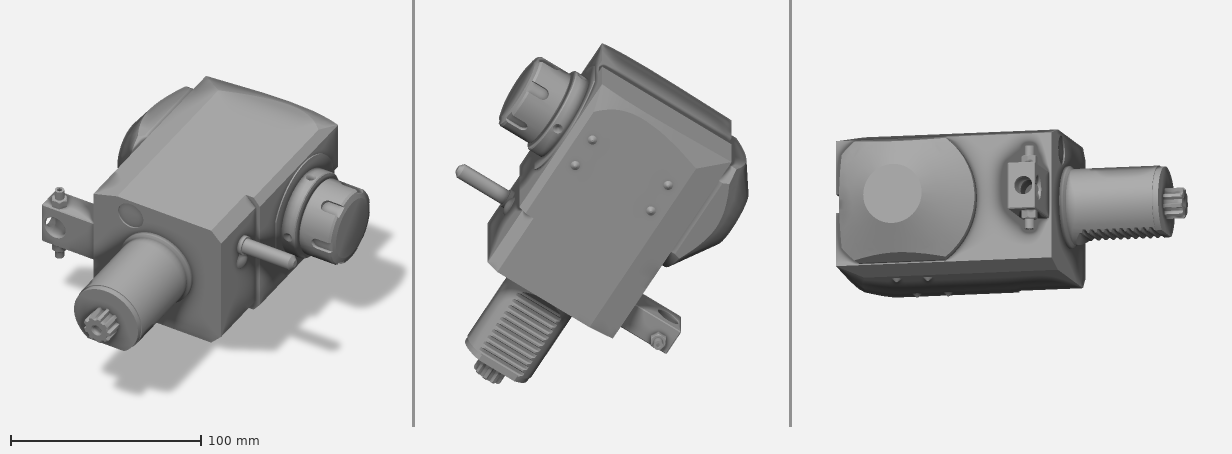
import cadquery as cq
import math

OVERLAP = 1.8

BODY_LENGTH = 116.4
BODY_LEFT = -38.8
BODY_RIGHT = 41.7
BODY_HALF_HEIGHT = 37.5
LEFT_BEVEL_WIDTH = 14.5
LEFT_BEVEL_DROP = 4.1
RIGHT_BEVEL_WIDTH = 3.8
RIGHT_BEVEL_DROP = 4.7
STEP_LENGTH = 35.5
STEP_RIGHT = 39.0
STEP_BEVEL_WIDTH = 6.0
STEP_BEVEL_DROP = 6.3
BACK_CREST = (12.4, 36.5)
BACK_LEFT_SHOULDER = (-16.8, 35.0)
BACK_RIGHT_SHOULDER = (30.8, 35.5)
BACK_SLOPE = 0.25
BACK_SLOT_WIDTH = 9.8
BACK_SLOT_DEPTH = 4.0
PLUG_RADIUS = 7.7
PLUG_DEPTH = 0.9
PLUG_X = -16.1
PLUG_Z = 27.7

SHANK_RADIUS = 20.0
SHANK_LENGTH = 52.8
SHANK_END_RADIUS = 19.5
SHANK_END_LENGTH = 3.2
FLANGE_RADIUS = 21.7
FLANGE_LENGTH = 1.8
FLANGE_TAPER = 1.5
FLANGE_ROUNDING = 0.7
FLAT_Z = -16.1
FLAT_START = 8.6
TOOTH_DEPTH = 1.5
GROOVE_COUNT = 10
FIRST_GROOVE = 11.5
LAST_GROOVE = 47.5
TOOTH_PITCH = (LAST_GROOVE - FIRST_GROOVE) / (GROOVE_COUNT - 1)
GROOVE_MOUTH = 3.0
GROOVE_FLOOR = 1.6

SPLINE_TEETH = 9
SPLINE_TIP_RADIUS = 8.2
SPLINE_ROOT_RADIUS = 6.5
SPLINE_LENGTH = 9.8
SPLINE_TIP_SHARE = 0.3
SPLINE_ROOT_SHARE = 0.6
SPLINE_CHAMFER = 0.7
CENTER_BORE_RADIUS = 2.5
CENTER_BORE_DEPTH = 5.4
CENTER_BORE_CHAMFER = 0.7

SPINDLE_Y = 80.4
COVER_RADIUS = 40.1
COVER_RIM_X = -44.8
COVER_FACE_X = -62.3
COVER_FACE_RADIUS = 15.8
COVER_BACK_Y = 111.9
COVER_FLAT_Z = 32.5
COVER_FLAT_X = -41.3
COVER_FLAT_ANGLE = 15.0

PLATE_RADIUS = 31.5
PLATE_HALF_WIDTH = 29.2
PLATE_END_X = 42.5
COLLAR_RADIUS = 24.0
COLLAR_END_X = 50.3
COLLAR_CHAMFER = 0.5
NECK_RADIUS = 16.6
NUT_START_X = 51.4
NUT_RADIUS = 21.1
NUT_BEVEL_X = 69.1
NUT_SHOULDER_X = 70.3
NUT_END_X = 71.5
NUT_SHOULDER_RADIUS = 20.4
NUT_FACE_RADIUS = 16.6
NUT_CHAMFER = 0.5
NUT_SLOTS = 6
NUT_SLOT_WIDTH = 6.5
NUT_SLOT_START_X = 59.0
NUT_SLOT_DEPTH = 2.1
COLLAR_HOLES = 4
COLLAR_HOLE_RADIUS = 2.7
COLLAR_HOLE_X = 46.4
COLLAR_HOLE_DEPTH = 2.7

PIN_Y = 21.5
PIN_Z = 16.1
PIN_RADIUS = 4.1
PIN_SHOULDER_X = 69.3
PIN_TIP_RADIUS = 2.0
PIN_COLLAR_RADIUS = 5.2
PIN_COLLAR_END_X = 41.3
DOME_Z = 6.3
DOME_RADIUS = 5.5
DOME_HEIGHT = 2.3

ARM_END_X = -71.2
ARM_FRONT_Y = 1.5
ARM_BACK_Y = 16.3
ARM_HALF_HEIGHT = 12.4
ARM_CHAMFER = 0.5
ARM_BORE_X = -63.2
ARM_BORE_RADIUS = 6.3
ARM_BORE_CHAMFER = 0.4
SIDE_BORE_Y = 7.7
SIDE_BORE_RADIUS = 4.8
SIDE_BORE_TIP_RADIUS = 1.5
SIDE_BORE_FLOOR_X = -46.5
SIDE_BORE_TIP_DEPTH = 3.5
STUD_X = -63.2
STUD_Y = 6.3
STUD_RADIUS = 2.5
STUD_TOP_Z = 22.0
STUD_NUT_TOP_Z = 16.8
HEX_ACROSS_CORNERS = 9.0
HEX_CHAMFER = 0.7
SOCKET_ACROSS_CORNERS = 2.9
SOCKET_DEPTH = 1.8

RIVET_RADIUS = 2.5
RIVET_TIP_RADIUS = 0.5
RIVET_HEIGHT = 1.8
RIVET_CENTER_X = 6.6
RIVET_SPACING_X = 47.0
RIVET_SPACING_Y = 16.8


def box(x_range, y_range, z_range):
    """Block between the given limits."""
    sizes = [high - low for low, high in (x_range, y_range, z_range)]
    corner = (x_range[0], y_range[0], z_range[0])
    return cq.Workplane("XY").box(*sizes, centered=False).translate(corner)


def revolve_along_x(profile, y, z):
    """Solid of revolution about X from (x, radius) points, centred on (y, z)."""
    outline = [(profile[0][0], 0)] + profile + [(profile[-1][0], 0)]
    solid = cq.Workplane("XY").polyline(outline).close().revolve(360, (0, 0, 0), (1, 0, 0))
    return solid.translate((0, y, z))


def revolve_along_y(profile):
    """Solid of revolution about Y from (radius, y) points."""
    outline = [(0, profile[0][1])] + profile
    if profile[-1][0] > 0:
        outline.append((0, profile[-1][1]))
    return cq.Workplane("XY").polyline(outline).close().revolve(360, (0, 0, 0), (0, 1, 0))


def along_y(outline, y_start, y_end):
    """Prism along Y from a closed (x, z) outline."""
    prism = cq.Workplane("XZ", origin=(0, y_start, 0)).polyline(outline).close()
    return prism.extrude(y_start - y_end)


def housing_outline(right, bevel_width, bevel_drop):
    """Cross-section of the housing, symmetric about Z = 0."""
    upper = [
        (BODY_LEFT, BODY_HALF_HEIGHT - LEFT_BEVEL_DROP),
        (BODY_LEFT + LEFT_BEVEL_WIDTH, BODY_HALF_HEIGHT),
        (right - bevel_width, BODY_HALF_HEIGHT),
        (right, BODY_HALF_HEIGHT - bevel_drop),
    ]
    lower = [(x, -z) for x, z in reversed(upper)]
    return upper + lower


def crown_section(y):
    """Closed section of the crowned envelope, which widens in Z away from the back face."""
    rise = BACK_SLOPE * (BODY_LENGTH - y)
    crown = [
        (BODY_LEFT, BODY_HALF_HEIGHT - LEFT_BEVEL_DROP),
        BACK_LEFT_SHOULDER,
        BACK_CREST,
        BACK_RIGHT_SHOULDER,
        (BODY_RIGHT, BODY_HALF_HEIGHT - RIGHT_BEVEL_DROP),
    ]
    upper = [(x, z + rise) for x, z in crown]
    lower = [(x, -z) for x, z in reversed(upper)]
    section = cq.Workplane("XZ", origin=(0, y, 0)).moveTo(*upper[0])
    section = section.spline(upper[1:], includeCurrent=True).lineTo(*lower[0])
    return section.spline(lower[1:], includeCurrent=True).close().val()


def back_crown():
    """Envelope that slopes the top and bottom of the housing toward the back face."""
    return cq.Workplane(cq.Solid.makeLoft([crown_section(BODY_LENGTH), crown_section(0)], True))


def make_housing():
    front = along_y(housing_outline(STEP_RIGHT, STEP_BEVEL_WIDTH, STEP_BEVEL_DROP), 0, STEP_LENGTH)
    main_outline = housing_outline(BODY_RIGHT, RIGHT_BEVEL_WIDTH, RIGHT_BEVEL_DROP)
    main = along_y(main_outline, STEP_LENGTH, BODY_LENGTH)
    body = front.union(main).intersect(back_crown())
    slot = box(
        (BODY_LEFT, BODY_RIGHT),
        (BODY_LENGTH - BACK_SLOT_DEPTH, BODY_LENGTH),
        (-BACK_SLOT_WIDTH / 2, BACK_SLOT_WIDTH / 2),
    )
    plug_recess = cq.Workplane("XZ").center(PLUG_X, PLUG_Z).circle(PLUG_RADIUS).extrude(-PLUG_DEPTH)
    return body.cut(slot).cut(plug_recess)


def make_shank():
    shank = revolve_along_y([
        (FLANGE_RADIUS, OVERLAP),
        (FLANGE_RADIUS, -FLANGE_LENGTH),
        (SHANK_RADIUS, -FLANGE_LENGTH - FLANGE_TAPER),
        (SHANK_RADIUS, SHANK_END_LENGTH - SHANK_LENGTH),
        (SHANK_END_RADIUS, SHANK_END_LENGTH - SHANK_LENGTH),
        (SHANK_END_RADIUS, -SHANK_LENGTH),
    ])
    shank = shank.edges(cq.selectors.RadiusNthSelector(-1)).fillet(FLANGE_ROUNDING)
    ramp = FLANGE_RADIUS + FLAT_Z
    flat_cut = [
        (-FLAT_START, FLAT_Z),
        (-SHANK_LENGTH, FLAT_Z),
        (-SHANK_LENGTH, -FLANGE_RADIUS),
        (ramp - FLAT_START, -FLANGE_RADIUS),
    ]
    shank = shank.cut(cq.Workplane("YZ").polyline(flat_cut).close().extrude(SHANK_RADIUS, both=True))
    for index in range(GROOVE_COUNT):
        y = -FIRST_GROOVE - index * TOOTH_PITCH
        groove = [
            (y - GROOVE_MOUTH / 2, FLAT_Z),
            (y - GROOVE_FLOOR / 2, FLAT_Z + TOOTH_DEPTH),
            (y + GROOVE_FLOOR / 2, FLAT_Z + TOOTH_DEPTH),
            (y + GROOVE_MOUTH / 2, FLAT_Z),
        ]
        shank = shank.cut(cq.Workplane("YZ").polyline(groove).close().extrude(SHANK_RADIUS, both=True))
    return shank


def make_spline():
    pitch = 2 * math.pi / SPLINE_TEETH
    outline = []
    for tooth in range(SPLINE_TEETH):
        corners = [
            (SPLINE_ROOT_RADIUS, -SPLINE_ROOT_SHARE),
            (SPLINE_TIP_RADIUS, -SPLINE_TIP_SHARE),
            (SPLINE_TIP_RADIUS, SPLINE_TIP_SHARE),
            (SPLINE_ROOT_RADIUS, SPLINE_ROOT_SHARE),
        ]
        for radius, share in corners:
            angle = pitch * (tooth + share / 2)
            outline.append((radius * math.cos(angle), radius * math.sin(angle)))
    end_y = -SHANK_LENGTH - SPLINE_LENGTH
    spline = along_y(outline, OVERLAP - SHANK_LENGTH, end_y)
    envelope = revolve_along_y([
        (SPLINE_TIP_RADIUS, OVERLAP - SHANK_LENGTH),
        (SPLINE_TIP_RADIUS, end_y + SPLINE_CHAMFER),
        (SPLINE_TIP_RADIUS - SPLINE_CHAMFER, end_y),
    ])
    bore = revolve_along_y([
        (CENTER_BORE_RADIUS + CENTER_BORE_CHAMFER, end_y),
        (CENTER_BORE_RADIUS, end_y + CENTER_BORE_CHAMFER),
        (CENTER_BORE_RADIUS, end_y + CENTER_BORE_DEPTH),
    ])
    return spline.intersect(envelope).cut(bore)


def make_cover():
    inner_x = BODY_LEFT + OVERLAP
    cover = revolve_along_x([
        (COVER_FACE_X, COVER_FACE_RADIUS),
        (COVER_RIM_X, COVER_RADIUS),
        (inner_x, COVER_RADIUS),
    ], SPINDLE_Y, 0)
    slope_drop = (COVER_FLAT_X - COVER_FACE_X) * math.tan(math.radians(COVER_FLAT_ANGLE))
    upper = [
        (COVER_FACE_X, COVER_FLAT_Z - slope_drop),
        (COVER_FLAT_X, COVER_FLAT_Z),
        (inner_x, COVER_FLAT_Z),
    ]
    lower = [(x, -z) for x, z in reversed(upper)]
    return cover.intersect(along_y(upper + lower, SPINDLE_Y - COVER_RADIUS, COVER_BACK_Y))


def make_spindle():
    plate = revolve_along_x(
        [(BODY_RIGHT - OVERLAP, PLATE_RADIUS), (PLATE_END_X, PLATE_RADIUS)], SPINDLE_Y, 0)
    plate = plate.intersect(box(
        (BODY_RIGHT - OVERLAP, PLATE_END_X),
        (SPINDLE_Y - PLATE_HALF_WIDTH, SPINDLE_Y + PLATE_HALF_WIDTH),
        (-PLATE_RADIUS, PLATE_RADIUS),
    ))
    turned = revolve_along_x([
        (BODY_RIGHT - OVERLAP, COLLAR_RADIUS),
        (COLLAR_END_X - COLLAR_CHAMFER, COLLAR_RADIUS),
        (COLLAR_END_X, COLLAR_RADIUS - COLLAR_CHAMFER),
        (COLLAR_END_X, NECK_RADIUS),
        (NUT_START_X, NECK_RADIUS),
        (NUT_START_X, NUT_RADIUS - NUT_CHAMFER),
        (NUT_START_X + NUT_CHAMFER, NUT_RADIUS),
        (NUT_BEVEL_X, NUT_RADIUS),
        (NUT_SHOULDER_X, NUT_SHOULDER_RADIUS),
        (NUT_END_X, NUT_FACE_RADIUS),
    ], SPINDLE_Y, 0)

    end_center_x = NUT_SLOT_START_X + NUT_SLOT_WIDTH / 2
    slot = (
        cq.Workplane("XZ", origin=(0, NUT_SLOT_DEPTH - NUT_RADIUS, 0))
        .moveTo(NUT_END_X, NUT_SLOT_WIDTH / 2)
        .lineTo(end_center_x, NUT_SLOT_WIDTH / 2)
        .threePointArc((NUT_SLOT_START_X, 0), (end_center_x, -NUT_SLOT_WIDTH / 2))
        .lineTo(NUT_END_X, -NUT_SLOT_WIDTH / 2)
        .close()
        .extrude(NUT_SLOT_DEPTH + OVERLAP)
    )
    for index in range(NUT_SLOTS):
        turned_slot = slot.rotate((0, 0, 0), (1, 0, 0), index * 360 / NUT_SLOTS)
        turned = turned.cut(turned_slot.translate((0, SPINDLE_Y, 0)))

    hole = revolve_along_y([
        (COLLAR_HOLE_RADIUS, -COLLAR_RADIUS - OVERLAP),
        (COLLAR_HOLE_RADIUS, -COLLAR_RADIUS),
        (0, COLLAR_HOLE_DEPTH - COLLAR_RADIUS),
    ]).translate((COLLAR_HOLE_X, 0, 0))
    for index in range(COLLAR_HOLES):
        turned_hole = hole.rotate((0, 0, 0), (1, 0, 0), index * 360 / COLLAR_HOLES)
        turned = turned.cut(turned_hole.translate((0, SPINDLE_Y, 0)))
    return plate.union(turned)


def make_pin():
    return revolve_along_x([
        (STEP_RIGHT - OVERLAP, PIN_COLLAR_RADIUS),
        (PIN_COLLAR_END_X, PIN_COLLAR_RADIUS),
        (PIN_COLLAR_END_X, PIN_RADIUS),
        (PIN_SHOULDER_X, PIN_RADIUS),
        (NUT_END_X, PIN_TIP_RADIUS),
    ], PIN_Y, PIN_Z)


def make_dome():
    sphere_radius = (DOME_RADIUS ** 2 + DOME_HEIGHT ** 2) / (2 * DOME_HEIGHT)
    center_x = STEP_RIGHT + DOME_HEIGHT - sphere_radius
    return cq.Workplane("XY").sphere(sphere_radius).translate((center_x, PIN_Y, DOME_Z))


def make_arm():
    """Arm with a bore along Y crossed by a stepped bore from its outer end."""
    arm = box(
        (ARM_END_X, BODY_LEFT + OVERLAP),
        (ARM_FRONT_Y, ARM_BACK_Y),
        (-ARM_HALF_HEIGHT, ARM_HALF_HEIGHT),
    )
    arm = arm.edges("|X").chamfer(ARM_CHAMFER).faces("<X").edges().chamfer(ARM_CHAMFER)
    mouth_radius = ARM_BORE_RADIUS + ARM_BORE_CHAMFER
    cross_bore = revolve_along_y([
        (mouth_radius, ARM_FRONT_Y),
        (ARM_BORE_RADIUS, ARM_FRONT_Y + ARM_BORE_CHAMFER),
        (ARM_BORE_RADIUS, ARM_BACK_Y - ARM_BORE_CHAMFER),
        (mouth_radius, ARM_BACK_Y),
    ]).translate((ARM_BORE_X, 0, 0))
    side_bore = revolve_along_x([
        (ARM_END_X, SIDE_BORE_RADIUS),
        (SIDE_BORE_FLOOR_X, SIDE_BORE_RADIUS),
        (SIDE_BORE_FLOOR_X, SIDE_BORE_TIP_RADIUS),
        (SIDE_BORE_FLOOR_X + SIDE_BORE_TIP_DEPTH, SIDE_BORE_TIP_RADIUS),
    ], SIDE_BORE_Y, 0)
    return arm.cut(cross_bore).cut(side_bore)


def make_stud():
    """Stud with lock nut on top of the arm."""
    base = cq.Workplane("XY", origin=(STUD_X, STUD_Y, ARM_HALF_HEIGHT - OVERLAP))
    nut = base.polygon(6, HEX_ACROSS_CORNERS).extrude(STUD_NUT_TOP_Z - ARM_HALF_HEIGHT + OVERLAP)
    nut_radius = HEX_ACROSS_CORNERS / 2
    rounding = base.circle(nut_radius).extrude(STUD_NUT_TOP_Z - ARM_HALF_HEIGHT + OVERLAP)
    nut = nut.intersect(rounding.faces(">Z").edges().chamfer(HEX_CHAMFER))
    rod = base.circle(STUD_RADIUS).extrude(STUD_TOP_Z - ARM_HALF_HEIGHT + OVERLAP)
    socket = cq.Workplane("XY", origin=(STUD_X, STUD_Y, STUD_TOP_Z - SOCKET_DEPTH))
    socket = socket.polygon(6, SOCKET_ACROSS_CORNERS).extrude(SOCKET_DEPTH)
    return nut.union(rod).cut(socket)


def make_rivet():
    """Tapered rivet head hanging below the housing."""
    shaft = cq.Workplane("XY").circle(RIVET_RADIUS).extrude(OVERLAP)
    head = cq.Workplane("XY").circle(RIVET_RADIUS).workplane(offset=-RIVET_HEIGHT).circle(RIVET_TIP_RADIUS)
    return shaft.union(head.loft())


result = make_housing()
for feature in (make_shank(), make_spline(), make_cover(), make_spindle()):
    result = result.union(feature)
for feature in (make_pin(), make_dome(), make_arm()):
    result = result.union(feature)

upper_stud = make_stud()
result = result.union(upper_stud).union(upper_stud.mirror("XY"))

rivet = make_rivet()
for x_side in (-1, 1):
    for y_side in (-1, 1):
        x = RIVET_CENTER_X + x_side * RIVET_SPACING_X / 2
        y = SPINDLE_Y + y_side * RIVET_SPACING_Y / 2
        result = result.union(rivet.translate((x, y, -BODY_HALF_HEIGHT)))